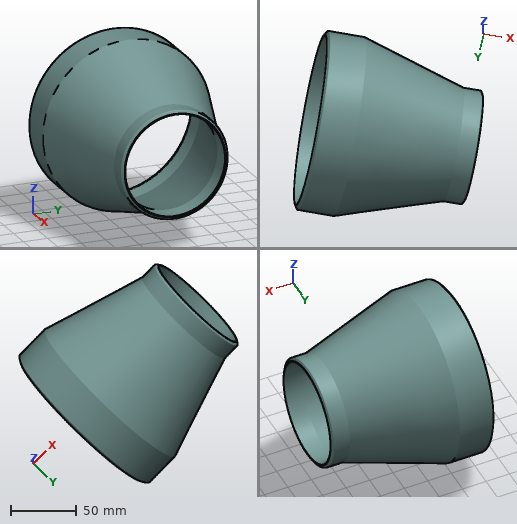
import cadquery as cq
import math

total_length = 127.0
large_outer_diameter = 139.7
large_bore_diameter = 131.7
small_outer_diameter = 88.8
small_bore_diameter = 82.5
large_collar_length = 30.2
small_collar_length = 15.2
large_bore_length = 17.3
edge_radius = 1.0

land_width = 0.8
bevel_angle = 32.0


def bevel_sizes(outer_radius, bore_radius):
    """Return the radial and axial size of the bevel at one end."""
    radial = outer_radius - bore_radius - land_width
    return radial, radial * math.tan(math.radians(bevel_angle))


large_radius = large_outer_diameter / 2
large_bore_radius = large_bore_diameter / 2
small_radius = small_outer_diameter / 2
small_bore_radius = small_bore_diameter / 2
cone_end = total_length - small_collar_length
large_bevel_radial, large_bevel_axial = bevel_sizes(large_radius, large_bore_radius)
small_bevel_radial, small_bevel_axial = bevel_sizes(small_radius, small_bore_radius)

wall_section = [
    (0, large_radius - large_bevel_radial),
    (large_bevel_axial, large_radius),
    (large_collar_length, large_radius),
    (cone_end, small_radius),
    (total_length - small_bevel_axial, small_radius),
    (total_length, small_radius - small_bevel_radial),
    (total_length, small_bore_radius),
    (cone_end, small_bore_radius),
    (large_bore_length, large_bore_radius),
    (0, large_bore_radius),
]

reducer = (
    cq.Workplane("XY")
    .polyline(wall_section)
    .close()
    .revolve(360, (0, 0, 0), (1, 0, 0))
)

search_margin = 0.1
rounded_edge_positions = [
    large_bevel_axial,
    large_collar_length,
    total_length - small_bevel_axial,
]
result = reducer
for x in rounded_edge_positions:
    edge_centre_region = cq.selectors.BoxSelector(
        (x - search_margin, -search_margin, -search_margin),
        (x + search_margin, search_margin, search_margin),
    )
    result = result.edges(edge_centre_region).fillet(edge_radius)